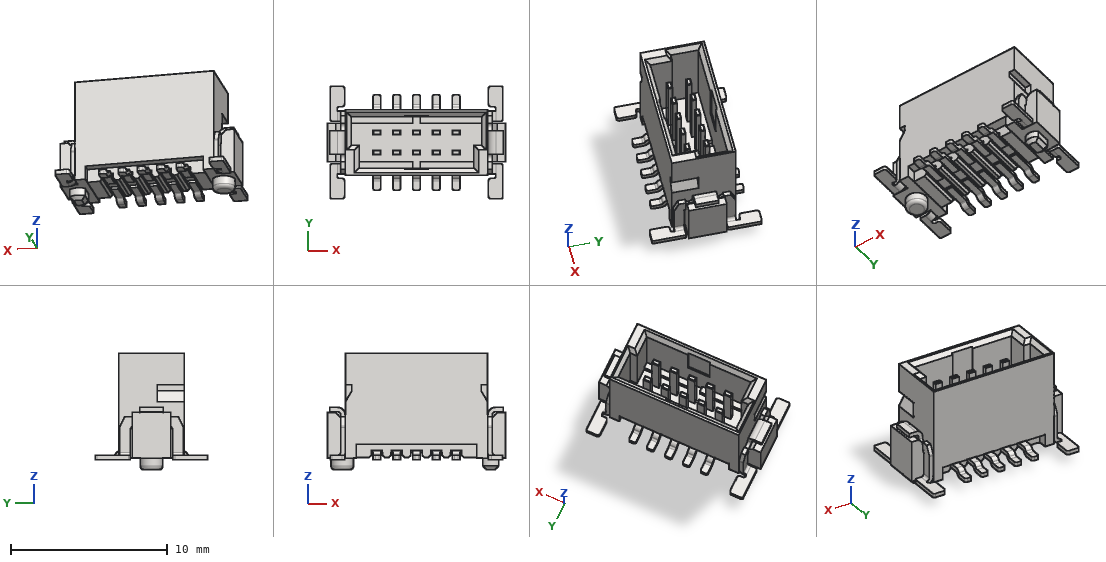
import cadquery as cq
import math


SHELL_LENGTH = 9.1
SHELL_WIDTH = 4.2
SHELL_BOTTOM = 0.11
SHELL_TOP = 6.82
SHELL_END = SHELL_LENGTH / 2
SHELL_SIDE = SHELL_WIDTH / 2

CAVITY_END = 4.16
CAVITY_SIDE = 1.63
KEY_END = 3.67
KEY_STEP_Y = -0.18
CAVITY_FLOOR = 1.71
LEAD_IN = 0.3

LEDGE_DEPTH = 0.4
LEDGE_HEIGHT = 0.34
LEDGE_GAP = 0.48

GROOVE_WIDTH = 1.53
GROOVE_DEPTH = 0.09
GROOVE_BOTTOM = 4.26

NOTCH_DEPTH = 0.42
NOTCH_TOP = 4.79
NOTCH_KNEE = 4.4
NOTCH_BOTTOM = 3.7
NOTCH_END_Y = -0.35

CONTACT_COLUMNS = 5
CONTACT_PITCH = 1.27
CONTACT_WIDTH = 0.5
METAL = 0.3
CONTACT_TOP = 5.59
CONTACT_TIP_CHAMFER = 0.05
ARM_TOP = 0.58
ARM_END_Y = 1.97
FOOT_START_Y = 2.44
FOOT_END_Y = 3.05
FOOT_CORNER = 0.14
FOOT_BEND_INNER = 0.17

RELIEF_END = 3.86
RELIEF_TOP = 1.0
RELIEF_DEPTH = 0.63
BASE_BOTTOM = 0.14
CHANNEL_WIDTH = 0.71
CHANNEL_FLARE = 0.16
CHANNEL_ROOF = 0.46
CHANNEL_MOUTH_TOP = 0.6

BLOCK_END = 5.7
BLOCK_SIDE = 1.24
BLOCK_TOP = 3.03
BLOCK_CHAMFER = 0.32
CLIP_OUTER = SHELL_END + METAL

PEG_X = 4.74
PEG_DIAMETER = 1.45
PEG_BOTTOM = -0.64
PEG_ROUNDING = 0.25
SLIM_PEG_WIDTH = 1.03

LEG_SIDE = 2.02
LEG_INNER = 1.36
LEG_SHOULDER = 2.13
SHOULDER_RADIUS = 0.16
LEG_TOP_SIDE = 1.71
LEG_TOP = 2.76
BRIDGE_BOTTOM = 2.15
LEG_KNEE = 1.97
TAB_SIDE = 0.75
TAB_TOP = 3.36
TAB_END = 5.55
CLIP_BEND = 0.2
CLIP_BEND_OUTER = CLIP_BEND + METAL
PAD_END_X = 5.52
PAD_START_X = 4.58
PAD_END_Y = 3.6
PAD_SLOT_Y = 2.28
PAD_CORNER = 0.11
PAD_INNER_CORNER = 0.18


def box(x0, x1, y0, y1, z0, z1):
    """Axis-aligned box between two opposite corners."""
    return cq.Workplane("XY").box(x1 - x0, y1 - y0, z1 - z0, centered=False).translate((x0, y0, z0))


def contact_positions():
    """X of each contact column."""
    middle = (CONTACT_COLUMNS - 1) / 2
    return [(column - middle) * CONTACT_PITCH for column in range(CONTACT_COLUMNS)]


def cavity_outline(grow):
    """Keyed cavity outline, offset outwards by `grow`, from the back left corner."""
    wide = CAVITY_END + grow
    narrow = KEY_END + grow
    side = CAVITY_SIDE + grow
    step = KEY_STEP_Y - grow
    return [
        (-wide, side), (wide, side), (wide, step), (narrow, step),
        (narrow, -side), (-narrow, -side), (-narrow, step), (-wide, step),
    ]


def cavity():
    """Space inside the shell: keyed pocket, lead-in, two grooves, less the four ledges."""
    depth = SHELL_TOP - CAVITY_FLOOR
    space = cq.Workplane("XY", origin=(0, 0, CAVITY_FLOOR)).polyline(cavity_outline(0)).close().extrude(depth)
    lead_in = (
        cq.Workplane("XY", origin=(0, 0, SHELL_TOP - LEAD_IN)).polyline(cavity_outline(0)).close()
        .workplane(offset=LEAD_IN).polyline(cavity_outline(LEAD_IN)).close()
        .loft(ruled=True)
    )
    ledge_top = CAVITY_FLOOR + LEDGE_HEIGHT
    ledge_inner = CAVITY_SIDE - LEDGE_DEPTH
    ledge = box(LEDGE_GAP / 2, SHELL_END, ledge_inner, SHELL_SIDE, CAVITY_FLOOR, ledge_top)
    ledges = ledge.union(ledge.mirror("YZ"))
    groove_side = CAVITY_SIDE + GROOVE_DEPTH
    grooves = box(-GROOVE_WIDTH / 2, GROOVE_WIDTH / 2, -groove_side, groove_side, GROOVE_BOTTOM, SHELL_TOP)
    return space.cut(ledges).cut(ledges.mirror("XZ")).union(lead_in).union(grooves)


def side_notch():
    """Sloped notch in the +X end of the shell, open to the front."""
    inner = SHELL_END - NOTCH_DEPTH
    outline = [(SHELL_END, NOTCH_TOP), (inner, NOTCH_TOP), (inner, NOTCH_KNEE), (SHELL_END, NOTCH_BOTTOM)]
    return (
        cq.Workplane("XZ", origin=(0, NOTCH_END_Y, 0))
        .polyline(outline).close().extrude(SHELL_SIDE + NOTCH_END_Y)
    )


def underside_relief():
    """Raised underside between the end walls, with a deeper step along each long side."""
    relief_inner = SHELL_SIDE - RELIEF_DEPTH
    step = box(-RELIEF_END, RELIEF_END, relief_inner, SHELL_SIDE, SHELL_BOTTOM, RELIEF_TOP)
    raised = box(-RELIEF_END, RELIEF_END, -SHELL_SIDE, SHELL_SIDE, SHELL_BOTTOM, BASE_BOTTOM)
    return raised.union(step).union(step.mirror("XZ"))


def contact_channel(x):
    """Flared channel across the underside for the arms of one contact column."""
    half = CHANNEL_WIDTH / 2
    mouth = half + CHANNEL_FLARE
    knee = BASE_BOTTOM + CHANNEL_FLARE
    outline = [(half, CHANNEL_ROOF), (half, knee), (mouth, BASE_BOTTOM),
               (-mouth, BASE_BOTTOM), (-half, knee), (-half, CHANNEL_ROOF)]
    channel = cq.Workplane("XZ").polyline(outline).close().extrude(SHELL_SIDE, both=True)
    mouth_y = SHELL_SIDE - RELIEF_DEPTH
    ramp_start = mouth_y - (CHANNEL_MOUTH_TOP - CHANNEL_ROOF)
    ramp = (
        cq.Workplane("YZ", origin=(-half, 0, 0))
        .polyline([(ramp_start, CHANNEL_ROOF), (mouth_y, CHANNEL_ROOF), (mouth_y, CHANNEL_MOUTH_TOP)])
        .close().extrude(CHANNEL_WIDTH)
    )
    return channel.union(ramp).union(ramp.mirror("XZ")).translate((x, 0, 0))


def end_block():
    """Block at the +X end and the neck that joins it to the shell."""
    block = box(CLIP_OUTER, BLOCK_END, -BLOCK_SIDE, BLOCK_SIDE, SHELL_BOTTOM, BLOCK_TOP)
    block = block.edges("<X and >Z").chamfer(BLOCK_CHAMFER)
    neck = box(SHELL_END, CLIP_OUTER, -BLOCK_SIDE, BLOCK_SIDE, SHELL_BOTTOM, BRIDGE_BOTTOM)
    return block.union(neck)


def round_peg():
    """Full round locating peg at the -X end."""
    peg = cq.Workplane("XY", origin=(-PEG_X, 0, PEG_BOTTOM)).circle(PEG_DIAMETER / 2)
    return peg.extrude(SHELL_BOTTOM - PEG_BOTTOM).faces("<Z").edges().fillet(PEG_ROUNDING)


def slim_peg():
    """Locating peg at the +X end, flattened on both sides and chamfered at its end."""
    height = SHELL_BOTTOM - PEG_BOTTOM
    peg = cq.Workplane("XY").circle(PEG_DIAMETER / 2).extrude(height).faces("<Z").chamfer(PEG_ROUNDING)
    flats = cq.Workplane("XY").rect(SLIM_PEG_WIDTH, PEG_DIAMETER).extrude(height)
    flats = flats.faces("<Z").edges("|Y").chamfer(PEG_ROUNDING)
    return peg.intersect(flats).translate((PEG_X, 0, PEG_BOTTOM))


def contact():
    """One contact of the back row, centred on X = 0: upright pin, arm, S-bend and foot."""
    pin_y = CONTACT_PITCH / 2
    pin_inner = pin_y - METAL / 2
    pin_outer = pin_y + METAL / 2
    arm_bottom = ARM_TOP - METAL
    run = FOOT_START_Y - ARM_END_Y
    bend_angle = 2 * math.atan2(arm_bottom, run)
    middle_y = FOOT_START_Y - FOOT_BEND_INNER * math.sin(bend_angle)
    middle_z = METAL + FOOT_BEND_INNER * (1 - math.cos(bend_angle))
    under_y = middle_y - METAL * math.sin(bend_angle)
    under_z = middle_z - METAL * math.cos(bend_angle)
    profile = (
        cq.Workplane("YZ", origin=(-CONTACT_WIDTH / 2, 0, 0))
        .moveTo(pin_inner, CONTACT_TOP)
        .lineTo(pin_outer, CONTACT_TOP)
        .lineTo(pin_outer, ARM_TOP)
        .lineTo(ARM_END_Y, ARM_TOP)
        .tangentArcPoint((middle_y, middle_z), relative=False)
        .tangentArcPoint((FOOT_START_Y, METAL), relative=False)
        .lineTo(FOOT_END_Y, METAL)
        .lineTo(FOOT_END_Y, 0)
        .lineTo(FOOT_START_Y, 0)
        .tangentArcPoint((under_y, under_z), relative=False)
        .tangentArcPoint((ARM_END_Y, arm_bottom), relative=False)
        .lineTo(pin_inner, arm_bottom)
        .close()
    )
    body = profile.extrude(CONTACT_WIDTH)
    body = body.faces(">Y").edges("|Z").fillet(FOOT_CORNER)
    return body.faces(">Z").chamfer(CONTACT_TIP_CHAMFER)


def clip_plate():
    """Upright sheet of the +X clip: two legs joined by a bridge, with the root of the tab."""
    valley_bottom = LEG_TOP - (BLOCK_SIDE - TAB_SIDE) / 2
    half = (
        cq.Workplane("YZ", origin=(SHELL_END, 0, 0))
        .moveTo(0, BRIDGE_BOTTOM)
        .lineTo(BLOCK_SIDE, BRIDGE_BOTTOM)
        .lineTo(LEG_INNER, LEG_KNEE)
        .lineTo(LEG_INNER, CLIP_BEND_OUTER)
        .lineTo(LEG_SIDE, CLIP_BEND_OUTER)
        .lineTo(LEG_SIDE, LEG_SHOULDER)
        .lineTo(LEG_TOP_SIDE, LEG_TOP)
        .lineTo(BLOCK_SIDE, LEG_TOP)
        .threePointArc(((BLOCK_SIDE + TAB_SIDE) / 2, valley_bottom), (TAB_SIDE, LEG_TOP))
        .lineTo(TAB_SIDE, TAB_TOP - CLIP_BEND_OUTER)
        .lineTo(0, TAB_TOP - CLIP_BEND_OUTER)
        .close().extrude(METAL)
    )
    shoulder = cq.selectors.NearestToPointSelector((CLIP_OUTER - METAL / 2, LEG_SIDE, LEG_SHOULDER))
    half = half.edges("|X").edges(shoulder).fillet(SHOULDER_RADIUS)
    return half.union(half.mirror("XZ"))


def clip_bend(z_end, direction, x_end, y0, y1):
    """Quarter bend from the upright sheet to a flat strip that ends at x_end.

    z_end is the outer face of the strip; direction is +1 for a strip above the bend, -1 below.
    """
    z_start = z_end - direction * CLIP_BEND_OUTER
    z_inner = z_end - direction * METAL
    x_flat = SHELL_END + CLIP_BEND_OUTER
    return (
        cq.Workplane("XZ", origin=(0, y1, 0))
        .moveTo(CLIP_OUTER, z_start)
        .lineTo(SHELL_END, z_start)
        .radiusArc((x_flat, z_end), direction * CLIP_BEND_OUTER)
        .lineTo(x_end, z_end)
        .lineTo(x_end, z_inner)
        .lineTo(x_flat, z_inner)
        .radiusArc((CLIP_OUTER, z_start), -direction * CLIP_BEND)
        .close().extrude(y1 - y0)
    )


def clip_pad():
    """Solder pad of the back leg, with a tongue beyond the slot that frees the bend."""
    x_flat = SHELL_END + CLIP_BEND_OUTER
    pad = box(x_flat, PAD_END_X, LEG_INNER, PAD_END_Y, 0, METAL)
    pad = pad.union(box(PAD_START_X, x_flat, PAD_SLOT_Y, PAD_END_Y, 0, METAL))
    pad = pad.edges("|Z and >X").fillet(PAD_CORNER)
    pad = pad.edges("|Z and <X").fillet(PAD_INNER_CORNER)
    slot_corner = cq.selectors.NearestToPointSelector((x_flat, PAD_SLOT_Y, METAL / 2))
    return pad.edges("|Z").edges(slot_corner).fillet(PAD_CORNER)


def hold_down():
    """Complete bent clip at the +X end."""
    foot = clip_bend(0, -1, PAD_END_X - METAL, LEG_INNER, LEG_SIDE).union(clip_pad())
    tab = clip_bend(TAB_TOP, 1, TAB_END, -TAB_SIDE, TAB_SIDE)
    return clip_plate().union(tab).union(foot).union(foot.mirror("XZ"))


def housing():
    """Moulded shell with its end blocks, pegs and underside, without any metal."""
    body = box(-SHELL_END, SHELL_END, -SHELL_SIDE, SHELL_SIDE, SHELL_BOTTOM, SHELL_TOP)
    body = body.cut(cavity()).cut(side_notch()).cut(side_notch().mirror("YZ")).cut(underside_relief())
    for x in contact_positions():
        body = body.cut(contact_channel(x))
    body = body.union(end_block()).union(end_block().mirror("YZ"))
    return body.union(round_peg()).union(slim_peg())


def connector():
    """Main body: housing in one piece with its contacts and the +X hold-down."""
    body = housing().union(hold_down())
    back_contact = contact()
    front_contact = back_contact.mirror("XZ")
    for x in contact_positions():
        body = body.union(back_contact.translate((x, 0, 0))).union(front_contact.translate((x, 0, 0)))
    return body


main_body = connector().clean()
left_hold_down = hold_down().mirror("YZ").clean()

result = cq.Compound.makeCompound([main_body.solids().val(), left_hold_down.solids().val()])